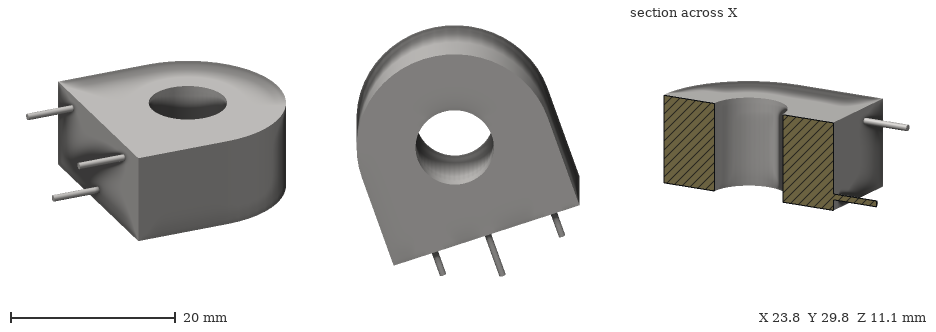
import cadquery as cq

body_width = 23.8
body_height = 11.12
total_length = 29.8
bore_diameter = 9.5
pin_diameter = 0.8
pin_pitch = 7.63

nose_radius = body_width / 2
straight_length = nose_radius
front_y = -straight_length
pin_length = total_length - nose_radius - straight_length
pin_positions = [
    (-pin_pitch, pin_pitch / 2),
    (pin_pitch, pin_pitch / 2),
    (0, -pin_pitch / 2),
]


def make_body():
    """D-shaped block with a round nose towards +Y."""
    return (
        cq.Workplane("XY", origin=(0, 0, -body_height / 2))
        .moveTo(-nose_radius, front_y)
        .lineTo(nose_radius, front_y)
        .lineTo(nose_radius, 0)
        .threePointArc((0, nose_radius), (-nose_radius, 0))
        .close()
        .extrude(body_height)
    )


def make_bore():
    """Through bore concentric with the nose."""
    return cq.Workplane("XY").circle(bore_diameter / 2).extrude(body_height, both=True)


def make_pins():
    """Three round pins standing out of the flat front face."""
    return (
        cq.Workplane("XZ", origin=(0, front_y, 0))
        .pushPoints(pin_positions)
        .circle(pin_diameter / 2)
        .extrude(pin_length)
    )


result = make_body().cut(make_bore()).union(make_pins())